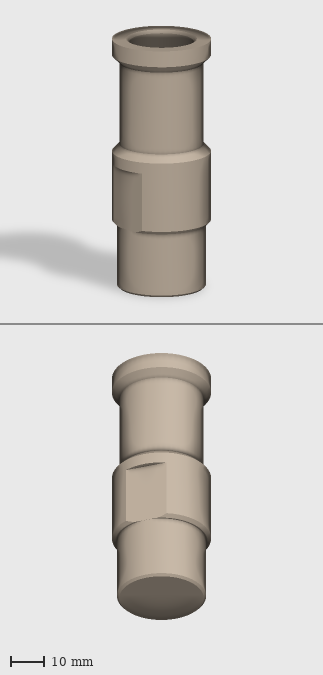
import cadquery as cq
import math

collar_diameter = 30.0
neck_diameter = 25.4
spigot_diameter = 27.0

total_height = 77.5
spigot_height = 20.0
flat_top = 38.9
body_top = 42.4
collar_height = 4.95

spigot_chamfer = 0.7
body_chamfer = 1.0

bore_diameter = 19.5
bore_mouth_diameter = 21.4
bore_depth = 54.25
drill_point_angle = 118.0

collar_radius = collar_diameter / 2
neck_radius = neck_diameter / 2
spigot_radius = spigot_diameter / 2
shoulder_height = collar_radius - neck_radius
collar_bottom = total_height - collar_height


def revolve_profile(points):
    """Revolve an (r, z) outline around the Z axis."""
    return cq.Workplane("XZ").polyline(points).close().revolve(360, (0, 0), (0, 1))


def make_outer_body():
    return revolve_profile([
        (0, 0),
        (spigot_radius - spigot_chamfer, 0),
        (spigot_radius, spigot_chamfer),
        (spigot_radius, spigot_height),
        (collar_radius - body_chamfer, spigot_height),
        (collar_radius, spigot_height + body_chamfer),
        (collar_radius, body_top),
        (neck_radius, body_top + shoulder_height),
        (neck_radius, collar_bottom - shoulder_height),
        (collar_radius, collar_bottom),
        (collar_radius, total_height),
        (0, total_height),
    ])


def make_bore():
    radius = bore_diameter / 2
    mouth_radius = bore_mouth_diameter / 2
    mouth_chamfer = mouth_radius - radius
    bore_bottom = total_height - bore_depth
    point_depth = radius / math.tan(math.radians(drill_point_angle / 2))
    return revolve_profile([
        (0, bore_bottom - point_depth),
        (radius, bore_bottom),
        (radius, total_height - mouth_chamfer),
        (mouth_radius, total_height),
        (0, total_height),
    ])


def make_flat_cutter(side):
    """Block outside one wrench flat, on the +Y (side=1) or -Y (side=-1) side."""
    cutter_depth = collar_diameter
    flat_height = flat_top - spigot_height
    return (
        cq.Workplane("XY")
        .box(collar_diameter, cutter_depth, flat_height, centered=(True, True, False))
        .translate((0, side * (spigot_radius + cutter_depth / 2), spigot_height))
    )


result = make_outer_body().cut(make_bore())
for flat_side in (-1, 1):
    result = result.cut(make_flat_cutter(flat_side))